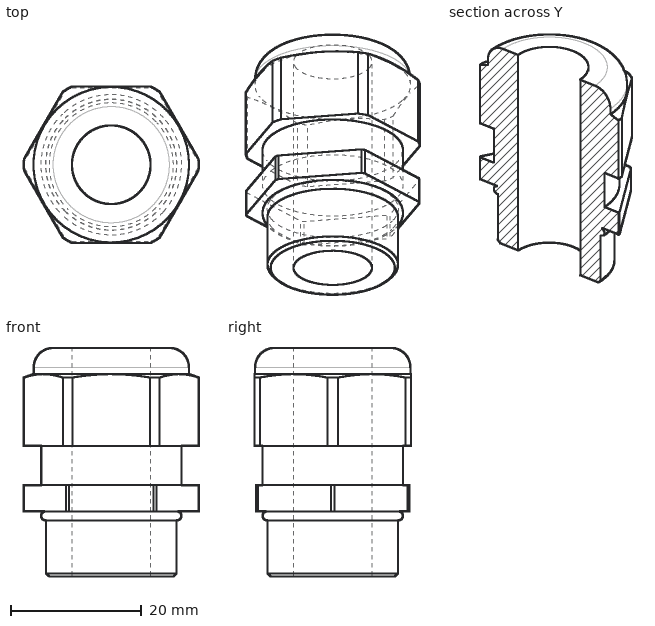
import cadquery as cq
import math

total_height = 35.0
bore_diameter = 12.0
corner_diameter = 26.8

shank_diameter = 20.0
shank_chamfer = 0.5

ring_section_diameter = 1.4
ring_outer_diameter = 21.5

flange_bottom = 10.0
flange_thickness = 4.0
flange_across_flats = 23.5

neck_diameter = 21.5
neck_length = 6.0

nut_across_flats = 24.0
nut_hex_height = 11.0
nut_chamfer_angle = 20.0
dome_diameter = 23.8
dome_radius = 3.0

flange_top = flange_bottom + flange_thickness
nut_bottom = flange_top + neck_length
nut_hex_top = nut_bottom + nut_hex_height


def cylinder(diameter, bottom, top):
    """Vertical cylinder on the Z axis between two levels."""
    return cq.Workplane("XY").workplane(offset=bottom).circle(diameter / 2).extrude(top - bottom)


def rounded_hexagon(across_flats, bottom, top):
    """Hexagonal prism, corners on the X axis, turned down to the corner diameter."""
    sides = 6
    sharp_diameter = across_flats / math.cos(math.pi / sides)
    prism = cq.Workplane("XY").workplane(offset=bottom).polygon(sides, sharp_diameter).extrude(top - bottom)
    return prism.intersect(cylinder(corner_diameter, bottom, top))


def make_shank():
    return cylinder(shank_diameter, 0, flange_bottom).faces("<Z").chamfer(shank_chamfer)


def make_sealing_ring():
    section_radius = ring_section_diameter / 2
    centre_radius = ring_outer_diameter / 2 - section_radius
    centre_height = flange_bottom - section_radius
    return (
        cq.Workplane("XZ")
        .moveTo(0, flange_bottom)
        .lineTo(centre_radius, flange_bottom)
        .threePointArc(
            (centre_radius + section_radius, centre_height),
            (centre_radius, centre_height - section_radius),
        )
        .lineTo(0, centre_height - section_radius)
        .close()
        .revolve(360, (0, 0), (0, 1))
    )


def make_cap_nut():
    dome_edge = dome_diameter / 2
    corner_edge = corner_diameter / 2
    cone_drop = (corner_edge - dome_edge) * math.tan(math.radians(nut_chamfer_angle))
    cone_envelope = (
        cq.Workplane("XZ")
        .polyline([
            (0, nut_bottom),
            (corner_edge, nut_bottom),
            (corner_edge, nut_hex_top - cone_drop),
            (dome_edge, nut_hex_top),
            (0, nut_hex_top),
        ])
        .close()
        .revolve(360, (0, 0), (0, 1))
    )
    hexagon = rounded_hexagon(nut_across_flats, nut_bottom, nut_hex_top).intersect(cone_envelope)
    dome = cylinder(dome_diameter, nut_bottom, total_height).faces(">Z").edges().fillet(dome_radius)
    return hexagon.union(dome)


def make_gland():
    body = make_shank().union(make_sealing_ring())
    body = body.union(rounded_hexagon(flange_across_flats, flange_bottom, flange_top))
    body = body.union(cylinder(neck_diameter, flange_top, nut_bottom))
    body = body.union(make_cap_nut())
    return body.cut(cylinder(bore_diameter, 0, total_height))


result = make_gland()